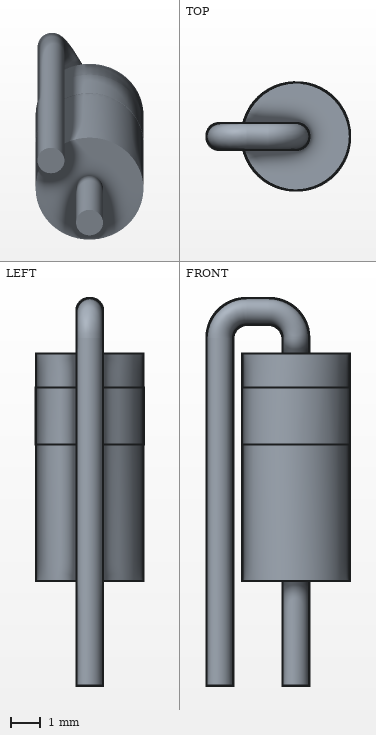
import cadquery as cq

lead_diameter = 0.9
lead_pitch = 2.54
lead_bottom_z = 0.0
bend_radius = lead_diameter
overall_height = 12.95
loop_axis_z = overall_height - lead_diameter / 2
bend_start_z = loop_axis_z - bend_radius

body_diameter = 3.6
body_length = 7.6
body_bottom_z = 3.5
body_top_z = body_bottom_z + body_length

band_diameter = 3.62
band_width = 1.9
band_to_body_top = 1.14
band_bottom_z = body_top_z - band_to_body_top - band_width

return_lead_x = 0.0
body_x = return_lead_x + lead_pitch


def upright_cylinder(x, diameter, bottom_z, height):
    """Vertical cylinder centred on the XZ plane."""
    return cq.Workplane("XY", origin=(x, 0, bottom_z)).circle(diameter / 2).extrude(height)


def bent_lead():
    """Round wire rising from the return pin, looping over and entering the body top."""
    path = (
        cq.Workplane("XZ")
        .moveTo(return_lead_x, lead_bottom_z)
        .lineTo(return_lead_x, bend_start_z)
        .radiusArc((return_lead_x + bend_radius, loop_axis_z), bend_radius)
        .lineTo(body_x - bend_radius, loop_axis_z)
        .radiusArc((body_x, bend_start_z), bend_radius)
        .lineTo(body_x, body_top_z)
    )
    section = cq.Workplane("XY", origin=(return_lead_x, 0, lead_bottom_z)).circle(lead_diameter / 2)
    return section.sweep(path)


body = upright_cylinder(body_x, body_diameter, body_bottom_z, body_length)
band = upright_cylinder(body_x, band_diameter, band_bottom_z, band_width)
straight_lead = upright_cylinder(body_x, lead_diameter, lead_bottom_z, body_bottom_z - lead_bottom_z)

result = body.union(band).union(straight_lead).union(bent_lead())